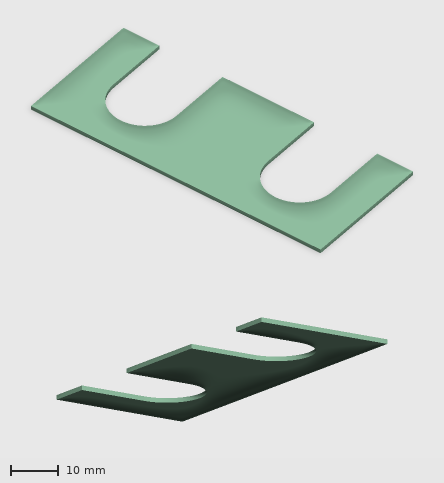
import cadquery as cq

length = 76.2
width = 31.8
thickness = 1.0

slot_width = 16.6
slot_depth = 24.1
slot_spacing = 40.7

slot_radius = slot_width / 2
open_edge_y = width / 2
arc_center_y = open_edge_y - slot_depth + slot_radius


def open_slot(center_x):
    """Cutter for one slot: straight sides ending in a half circle."""
    left_x = center_x - slot_radius
    right_x = center_x + slot_radius
    return (
        cq.Workplane("XY")
        .moveTo(left_x, open_edge_y)
        .lineTo(left_x, arc_center_y)
        .threePointArc((center_x, arc_center_y - slot_radius), (right_x, arc_center_y))
        .lineTo(right_x, open_edge_y)
        .close()
        .extrude(thickness)
    )


result = cq.Workplane("XY").box(length, width, thickness, centered=(True, True, False))
for side in (-1, 1):
    result = result.cut(open_slot(side * slot_spacing / 2))